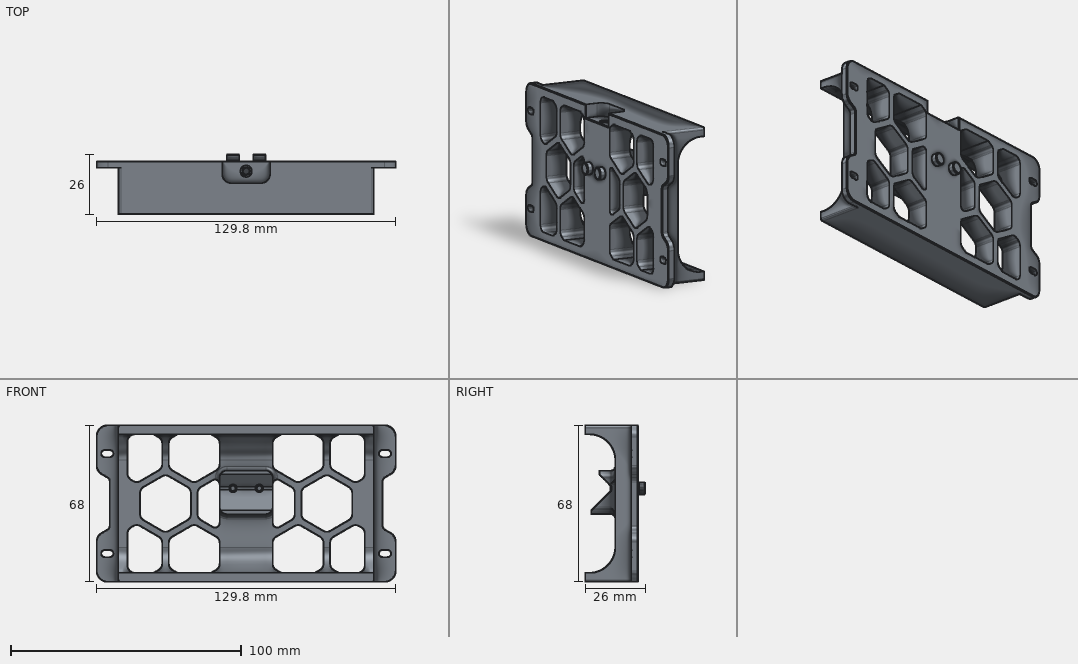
import cadquery as cq
import math


frame_length = 129.8
frame_height = 68.0
flange_thick = 3.0
flange_corner_radius = 4.9
back_chamfer = 0.4

notch_floor_x = 59.2
notch_mouth_half_height = 14.0
notch_slope = math.radians(30)
notch_mouth_radius = 4.5
notch_floor_radius = 2.1

slot_x = 60.2
slot_z = 21.7
slot_length = 5.2
slot_width = 3.0

box_length = 110.8
box_depth = 23.0
box_edge_radius = 1.0
web_thick = 10.0
shelf_thick = 4.0
shelf_fillet_radius = 11.0
shelf_gap = frame_height - 2 * shelf_thick

hex_flats = 22.0
hex_wall = 3.0
hex_corners = hex_flats / math.cos(math.radians(30))
hex_pitch = hex_flats + hex_wall
hex_row_pitch = hex_pitch * math.sin(math.radians(60))
window_corner_radius = 3.0
post_corner_radius = 2.0
post_half_width = 11.5
honeycomb_half_length = 51.4
outer_row_first_x = post_half_width + hex_flats / 2
middle_row_first_x = outer_row_first_x - hex_pitch / 2

hook_width = 2 * post_half_width
hook_top_z = 14.3
hook_bottom_z = -4.5
hook_corner_radius = 3.1
hook_base_radius = 2.0
lower_lip_y = -20.4
upper_lip_y = -16.9
throat_y = -11.4
throat_height = 1.2

screw_x = 5.7
screw_z = 6.6
screw_diameter = 3.0
screw_hole_diameter = 3.4
screw_length = 12.1
screw_chamfer = 0.4
head_diameter = 5.5
head_height = 3.0

recess_width = 20.8
recess_reach = 9.6
recess_depth = 6.0
recess_corner_radius = 4.0
recess_floor_z = frame_height / 2 - recess_depth

insert_y = -4.4
insert_diameter = 5.0
insert_length = 5.0
insert_bore = 2.9
insert_mouth_diameter = 3.4
insert_mouth_depth = 0.5


def block(x_size, z_size, depth):
    """A block centred on X and Z, reaching forward from the back face."""
    return cq.Workplane("XZ").rect(x_size, z_size).extrude(depth)


def side_notch(side):
    """Trapezoidal cutter for one end of the flange; side is -1 or 1."""
    end_x = side * frame_length / 2
    floor_x = side * notch_floor_x
    floor_half_height = notch_mouth_half_height - (frame_length / 2 - notch_floor_x) * math.tan(notch_slope)
    return (
        cq.Workplane("XZ")
        .moveTo(end_x, notch_mouth_half_height)
        .lineTo(floor_x, floor_half_height)
        .lineTo(floor_x, -floor_half_height)
        .lineTo(end_x, -notch_mouth_half_height)
        .close()
        .extrude(flange_thick)
    )


def upright_edges(plate, x):
    """The plate's edges along Y that lie at x and beside a side notch."""
    tolerance = 0.1
    z = notch_mouth_half_height + tolerance
    near_notch = cq.selectors.BoxSelector(
        (x - tolerance, -flange_thick, -z), (x + tolerance, 0, z)
    )
    return plate.edges("|Y").edges(near_notch)


def make_flange():
    plate = block(frame_length, frame_height, flange_thick)
    plate = plate.edges("|Y").fillet(flange_corner_radius)
    for side in (-1, 1):
        plate = plate.cut(side_notch(side))
        plate = upright_edges(plate, side * frame_length / 2).fillet(notch_mouth_radius)
        plate = upright_edges(plate, side * notch_floor_x).fillet(notch_floor_radius)
    slots = (
        cq.Workplane("XZ")
        .rarray(2 * slot_x, 2 * slot_z, 2, 2)
        .slot2D(slot_length, slot_width)
        .extrude(flange_thick)
    )
    return plate.cut(slots)


def make_box():
    body = block(box_length, frame_height, box_depth).edges("|Y").fillet(box_edge_radius)
    cavity = (
        cq.Workplane("XZ", origin=(0, -web_thick, 0))
        .rect(box_length, shelf_gap)
        .extrude(box_depth)
        .edges("|X and >Y")
        .fillet(shelf_fillet_radius)
    )
    return body.cut(cavity)


def add_hook(body):
    """Add the rounded hook block to the web, with a fillet around its base."""
    hook = (
        cq.Workplane("XZ", origin=(0, 0, (hook_top_z + hook_bottom_z) / 2))
        .rect(hook_width, hook_top_z - hook_bottom_z)
        .extrude(-lower_lip_y)
        .edges("|Y")
        .fillet(hook_corner_radius)
    )
    tolerance = 0.1
    base = cq.selectors.BoxSelector(
        (-post_half_width - tolerance, -web_thick - tolerance, hook_bottom_z - tolerance),
        (post_half_width + tolerance, -web_thick + tolerance, hook_top_z + tolerance),
    )
    return body.union(hook).edges(base).fillet(hook_base_radius)


def hook_mouth():
    """Cutter for the V mouth, with 45-degree sides and a flat throat."""
    throat_top = screw_z + throat_height / 2
    throat_bottom = screw_z - throat_height / 2
    return (
        cq.Workplane("YZ")
        .moveTo(throat_y, throat_top)
        .lineTo(upper_lip_y, throat_top + throat_y - upper_lip_y)
        .lineTo(upper_lip_y, hook_top_z)
        .lineTo(lower_lip_y, hook_top_z)
        .lineTo(lower_lip_y, throat_bottom - throat_y + lower_lip_y)
        .lineTo(throat_y, throat_bottom)
        .close()
        .extrude(post_half_width, both=True)
    )


def window_cell(side, x, row):
    """One hexagonal cell, kept between the centre post and the end of the honeycomb."""
    lane_length = honeycomb_half_length - post_half_width
    lane_x = side * (honeycomb_half_length + post_half_width) / 2
    lane = block(lane_length, 2 * frame_height, box_depth).translate((lane_x, 0, 0))
    hexagon = (
        cq.Workplane("XZ")
        .transformed(rotate=(0, 0, 30))
        .polygon(6, hex_corners)
        .extrude(box_depth)
        .translate((side * x, 0, row * hex_row_pitch))
    )
    cell = hexagon.intersect(lane)
    if x > outer_row_first_x or row != 0:
        return cell.edges("|Y").fillet(window_corner_radius)
    post_side = "<X" if side > 0 else ">X"
    far_side = ">X" if side > 0 else "<X"
    cell = cell.edges("|Y").edges(far_side).fillet(window_corner_radius)
    return cell.edges("|Y").edges(post_side).fillet(post_corner_radius)


def windows():
    """All cells, trimmed to a rounded opening that is level with the shelves."""
    opening = block(2 * honeycomb_half_length, shelf_gap, box_depth)
    opening = opening.edges("|Y").fillet(window_corner_radius)
    cells = cq.Workplane("XZ")
    for side in (-1, 1):
        for column in (0, 1):
            step = column * hex_pitch
            cells = cells.union(window_cell(side, middle_row_first_x + step, 0))
            for row in (-1, 1):
                cells = cells.union(window_cell(side, outer_row_first_x + step, row))
    return cells.intersect(opening)


def recess():
    return (
        cq.Workplane("XY", origin=(0, 0, recess_floor_z))
        .rect(recess_width, 2 * recess_reach)
        .extrude(recess_depth)
        .edges("|Z")
        .fillet(recess_corner_radius)
    )


def chamfer_back_outline(body):
    outline = body.faces(">Y").val().outerWire()
    return body.newObject(outline.Edges()).chamfer(back_chamfer)


def rod_forward(x, diameter, length):
    """A cylinder on a screw axis, from the back face towards the front."""
    return cq.Workplane("XZ", origin=(x, 0, screw_z)).circle(diameter / 2).extrude(length)


def rod_down(diameter, length):
    """A cylinder on the insert axis, from the recess floor downwards."""
    return cq.Workplane("XY", origin=(0, insert_y, recess_floor_z)).circle(diameter / 2).extrude(-length)


def make_frame():
    body = add_hook(make_flange().union(make_box()))
    body = body.cut(hook_mouth()).cut(windows()).cut(recess())
    body = chamfer_back_outline(body)
    for x in (-screw_x, screw_x):
        body = body.cut(rod_forward(x, screw_hole_diameter, box_depth))
    return body.cut(rod_down(insert_diameter, insert_length))


def make_screw(x):
    head = rod_forward(x, head_diameter, -head_height).edges().chamfer(screw_chamfer)
    shank = rod_forward(x, screw_diameter, screw_length).faces("<Y").chamfer(screw_chamfer)
    return head.union(shank)


def make_insert():
    sleeve = rod_down(insert_diameter, insert_length)
    sleeve = sleeve.cut(rod_down(insert_bore, insert_length))
    return sleeve.cut(rod_down(insert_mouth_diameter, insert_mouth_depth))


frame = make_frame()
screws = [make_screw(x) for x in (-screw_x, screw_x)]
insert = make_insert()

result = cq.Compound.makeCompound([frame.val(), *[screw.val() for screw in screws], insert.val()])